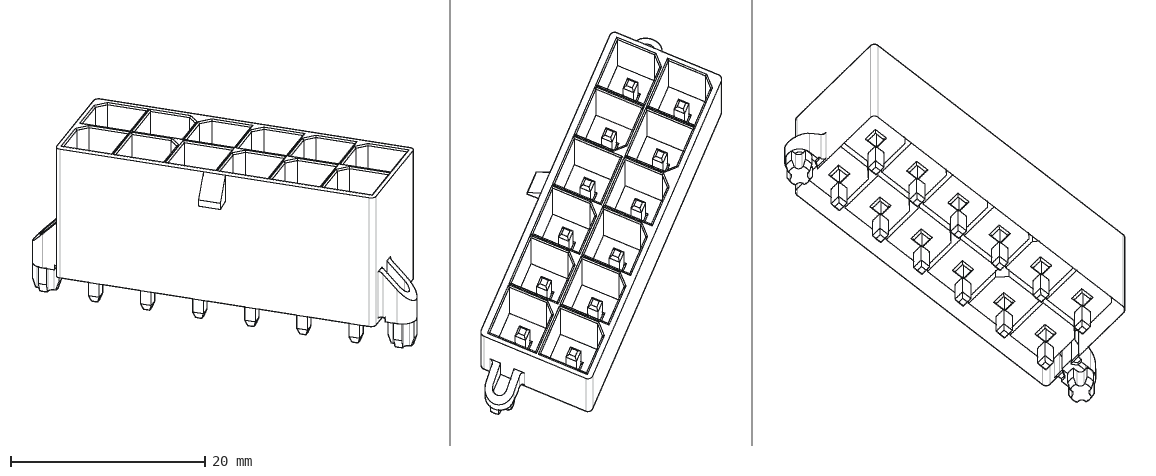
import cadquery as cq
import math

BODY_LENGTH = 34.95
BODY_DEPTH = 12.5
BODY_HEIGHT = 14.8
BODY_CORNER_RADIUS = 0.55
FRONT_FACE = -BODY_DEPTH / 2
SIDE_FACE = BODY_LENGTH / 2

PITCH = 5.7
COLUMNS = 6
GRID_CENTER_Y = 0.1
ROW_YS = [GRID_CENTER_Y - PITCH / 2, GRID_CENTER_Y + PITCH / 2]
COLUMN_XS = [(column - (COLUMNS - 1) / 2) * PITCH for column in range(COLUMNS)]

CELL_WIDTH = 5.57
CELL_DEPTH = 5.5
CELL_CORNER_CUT = 1.1
CELL_FLOOR = 2.95
RIM_CHAMFER = 0.15
RIM_CHAMFER_ANGLE = 45
CELL_KEYS = [
    ["left", "right", "none", "left", "left", "left"],
    ["left", "right", "left", "left", "left", "left"],
]

PIN_WIDTH = 1.17
PIN_BOTTOM = -3.75
PIN_TOP = 9.2
PIN_POINT_LENGTH = 0.7
PIN_POINT_INSET = 0.25
PIN_POINT_TAPER = math.degrees(math.atan(PIN_POINT_INSET / PIN_POINT_LENGTH))
FUNNEL_WIDTH = 1.55
FUNNEL_DEPTH = 0.35

LATCH_WIDTH = 2.4
LATCH_REACH = 1.55
LATCH_SLOPE_DROP = 2.5
LATCH_TIP_DROP = 3.23
LATCH_ROOT_DROP = 3.0

ARM_TIP = 20.95
ARM_RADIUS = 1.55
ARM_CENTER_X = ARM_TIP - ARM_RADIUS
ARM_CENTER_Y = -3.1
ARM_TIP_HEIGHT = 2.35
ARM_ROOT_HEIGHT = ARM_TIP_HEIGHT + ARM_TIP - SIDE_FACE
ARM_FILLET = 0.38
SLOT_RADIUS = 0.75
SLOT_FLOOR = 0.75

UNDERCUT_LENGTH = 0.63
UNDERCUT_HEIGHT = 0.5
WEB_OUTER_WIDTH = 2.0
WEB_INNER_WIDTH = 1.25

PEG_RADIUS = 1.5
PEG_CENTER_X = ARM_TIP - PEG_RADIUS
PEG_RIB_WIDTH = 0.9
PEG_FLUTE_RADIUS = 0.5
PEG_LENGTH = 2.9
PEG_TAPER_LENGTH = 1.0
PEG_TAPER_INSET = 0.35


def make_body():
    block = cq.Workplane("XY").box(BODY_LENGTH, BODY_DEPTH, BODY_HEIGHT, centered=(True, True, False))
    return block.edges("|Z").fillet(BODY_CORNER_RADIUS)


def cell_outline(key, z):
    """Rectangular cell mouth, with the back left or back right corner cut off."""
    side = CELL_WIDTH / 2
    back = CELL_DEPTH / 2
    cut_x = side - CELL_CORNER_CUT
    cut_y = back - CELL_CORNER_CUT
    points = [(-side, -back), (side, -back)]
    points += [(side, cut_y), (cut_x, back)] if key == "right" else [(side, back)]
    points += [(-cut_x, back), (-side, cut_y)] if key == "left" else [(-side, back)]
    return cq.Workplane("XY").workplane(offset=z).polyline(points).close()


def make_cell(key):
    """Cell cavity centred on the origin, with its mouth chamfered all round."""
    shaft_outline = cell_outline(key, CELL_FLOOR).offset2D(-RIM_CHAMFER)
    shaft = shaft_outline.extrude(BODY_HEIGHT - CELL_FLOOR)
    rim = cell_outline(key, BODY_HEIGHT).extrude(-RIM_CHAMFER, taper=RIM_CHAMFER_ANGLE)
    funnel = (
        cq.Workplane("XY").workplane(offset=CELL_FLOOR).rect(FUNNEL_WIDTH, FUNNEL_WIDTH)
        .workplane(offset=-FUNNEL_DEPTH).rect(PIN_WIDTH, PIN_WIDTH)
        .loft(ruled=True)
    )
    return shaft.union(rim).union(funnel)


def make_pin():
    """Straight square pin on the origin, narrowing to a blunt point at both ends."""
    shank_bottom = PIN_BOTTOM + PIN_POINT_LENGTH
    shank_top = PIN_TOP - PIN_POINT_LENGTH
    square = cq.Workplane("XY").workplane(offset=shank_bottom).rect(PIN_WIDTH, PIN_WIDTH)
    shank = square.extrude(shank_top - shank_bottom)
    upper_point = shank.faces(">Z").wires().toPending().extrude(PIN_POINT_LENGTH, taper=PIN_POINT_TAPER)
    lower_end = upper_point.faces("<Z").wires().toPending().workplane()
    return lower_end.extrude(PIN_POINT_LENGTH, taper=PIN_POINT_TAPER)


def make_latch():
    points = [
        (FRONT_FACE, BODY_HEIGHT),
        (FRONT_FACE - LATCH_REACH, BODY_HEIGHT - LATCH_SLOPE_DROP),
        (FRONT_FACE - LATCH_REACH, BODY_HEIGHT - LATCH_TIP_DROP),
        (FRONT_FACE, BODY_HEIGHT - LATCH_ROOT_DROP),
    ]
    return cq.Workplane("YZ").polyline(points).close().extrude(LATCH_WIDTH / 2, both=True)


def make_undercut():
    """Both side notches under the right arm root, either side of the web."""
    outer_x = SIDE_FACE + UNDERCUT_LENGTH
    outer_y = ARM_RADIUS + ARM_FILLET
    notch = (
        cq.Workplane("XY").moveTo(SIDE_FACE, WEB_INNER_WIDTH / 2)
        .lineTo(outer_x, WEB_OUTER_WIDTH / 2)
        .lineTo(outer_x, outer_y)
        .lineTo(SIDE_FACE, outer_y)
        .close().extrude(UNDERCUT_HEIGHT)
    )
    return notch.union(notch.mirror("XZ"))


def make_peg():
    """Cross of four ribs with rounded inner corners, the rib ends tapering in at the bottom."""
    cross = (
        cq.Workplane("XY").rect(2 * PEG_RADIUS, PEG_RIB_WIDTH).extrude(-PEG_LENGTH)
        .union(cq.Workplane("XY").rect(PEG_RIB_WIDTH, 2 * PEG_RADIUS).extrude(-PEG_LENGTH))
    )
    box_low = (-PEG_RIB_WIDTH, -PEG_RIB_WIDTH, -PEG_LENGTH)
    box_high = (PEG_RIB_WIDTH, PEG_RIB_WIDTH, 0)
    inner_corners = cq.selectors.BoxSelector(box_low, box_high)
    ribs = cross.edges("|Z").edges(inner_corners).fillet(PEG_FLUTE_RADIUS)
    envelope = (
        cq.Workplane("XZ").lineTo(PEG_RADIUS, 0)
        .lineTo(PEG_RADIUS, PEG_TAPER_LENGTH - PEG_LENGTH)
        .lineTo(PEG_RADIUS - PEG_TAPER_INSET, -PEG_LENGTH)
        .lineTo(0, -PEG_LENGTH)
        .close().revolve(360, (0, 0, 0), (0, 1, 0))
    )
    return ribs.intersect(envelope)


def make_right_arm():
    """Slotted arm with a 45 degree top and a peg, built on Y = 0 and moved into place."""
    flare_y = ARM_RADIUS + ARM_FILLET
    flare_x = SIDE_FACE + ARM_FILLET
    plan = (
        cq.Workplane("XY").moveTo(SIDE_FACE, -flare_y)
        .radiusArc((flare_x, -ARM_RADIUS), ARM_FILLET)
        .lineTo(ARM_CENTER_X, -ARM_RADIUS)
        .threePointArc((ARM_TIP, 0), (ARM_CENTER_X, ARM_RADIUS))
        .lineTo(flare_x, ARM_RADIUS)
        .radiusArc((SIDE_FACE, flare_y), ARM_FILLET)
        .close().extrude(ARM_ROOT_HEIGHT)
    )
    side_profile = (
        cq.Workplane("XZ").moveTo(SIDE_FACE, 0)
        .lineTo(ARM_TIP, 0)
        .lineTo(ARM_TIP, ARM_TIP_HEIGHT)
        .lineTo(SIDE_FACE, ARM_ROOT_HEIGHT)
        .close().extrude(flare_y, both=True)
    )
    slot = (
        cq.Workplane("XY").workplane(offset=SLOT_FLOOR).moveTo(SIDE_FACE, -SLOT_RADIUS)
        .lineTo(ARM_CENTER_X, -SLOT_RADIUS)
        .threePointArc((ARM_CENTER_X + SLOT_RADIUS, 0), (ARM_CENTER_X, SLOT_RADIUS))
        .lineTo(SIDE_FACE, SLOT_RADIUS)
        .close().extrude(ARM_ROOT_HEIGHT)
    )
    arm = plan.intersect(side_profile).cut(slot).cut(make_undercut())
    arm = arm.union(make_peg().translate((PEG_CENTER_X, 0, 0)))
    return arm.translate((0, ARM_CENTER_Y, 0))


connector = make_body()
pin = make_pin()
for row_y, row_keys in zip(ROW_YS, CELL_KEYS):
    for column_x, key in zip(COLUMN_XS, row_keys):
        connector = connector.cut(make_cell(key).translate((column_x, row_y, 0)))
        connector = connector.union(pin.translate((column_x, row_y, 0)))

right_arm = make_right_arm()
connector = connector.union(make_latch())
connector = connector.union(right_arm).union(right_arm.mirror("YZ"))

result = connector.solids()